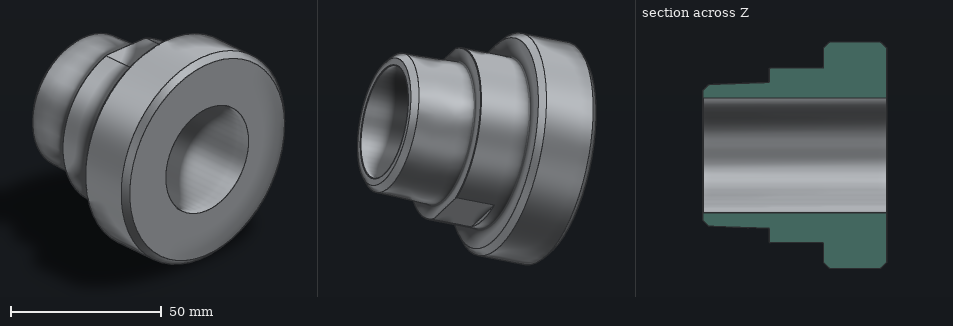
import cadquery as cq

total_length = 61.0
shoulder_x = 22.0
flange_x = 39.95
flat_end_x = 35.9

bore_radius = 38.0 / 2
spigot_tip_radius = 23.5
spigot_root_radius = 24.2
collar_radius = 58.0 / 2
flange_radius = 75.1 / 2

edge_chamfer = 2.0
root_fillet = 0.4
small_chamfer = 0.2

flat_height = 27.5


def turned_body():
    """Revolve the stepped half section, with its tapered spigot, about X."""
    spigot_end_x = shoulder_x - root_fillet
    profile = (
        cq.Workplane("XY")
        .moveTo(small_chamfer, bore_radius)
        .lineTo(0, bore_radius + small_chamfer)
        .lineTo(0, spigot_tip_radius - edge_chamfer)
        .lineTo(edge_chamfer, spigot_tip_radius)
        .lineTo(spigot_end_x, spigot_root_radius)
        .radiusArc((shoulder_x, spigot_root_radius + root_fillet), -root_fillet)
        .lineTo(shoulder_x, collar_radius - small_chamfer)
        .lineTo(shoulder_x + small_chamfer, collar_radius)
        .lineTo(flange_x - root_fillet, collar_radius)
        .radiusArc((flange_x, collar_radius + root_fillet), -root_fillet)
        .lineTo(flange_x, flange_radius - edge_chamfer)
        .lineTo(flange_x + edge_chamfer, flange_radius)
        .lineTo(total_length - edge_chamfer, flange_radius)
        .lineTo(total_length, flange_radius - edge_chamfer)
        .lineTo(total_length, bore_radius)
        .close()
    )
    return profile.revolve(360, (0, 0, 0), (1, 0, 0))


def flat_cutter(side):
    """Block that mills one wrench flat; side is +1 (top) or -1 (bottom)."""
    length = flat_end_x - shoulder_x
    depth = flange_radius - flat_height
    center = (shoulder_x + length / 2, 0, side * (flat_height + depth / 2))
    return cq.Workplane("XY").box(length, 2 * flange_radius, depth).translate(center)


result = turned_body()
for side in (1, -1):
    result = result.cut(flat_cutter(side))